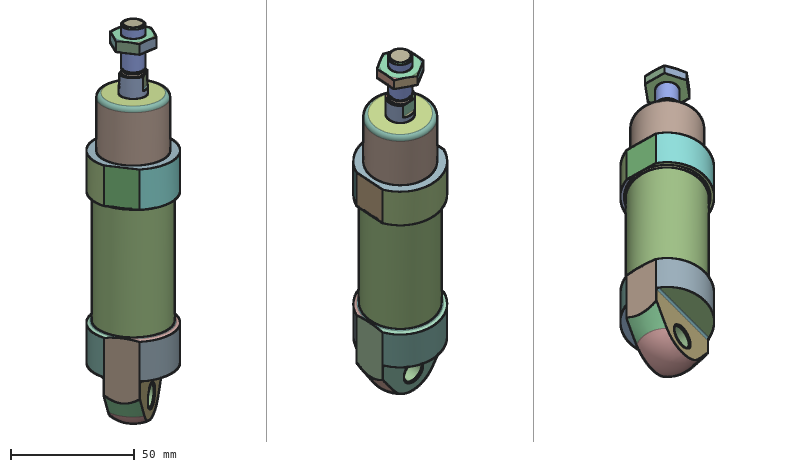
import cadquery as cq
import math

total_length = 176.5

collar_diameter = 38.0
collar_flat_width = 35.0
tube_diameter = 33.6
neck_diameter = 30.0
neck_top = 145.5
neck_edge_radius = 2.0
front_collar_top = 120.0
front_collar_bottom = 102.0
rear_collar_top = 44.2
rear_collar_bottom = 25.9
rear_collar_chamfer_height = 0.7
tube_end_diameter = 35.0
front_flare_height = 0.8
rear_flare_height = 0.4

tongue_thickness = 15.3
tongue_root_radius = 0.9
nose_radius = 15.0
nose_cone_half_angle = math.radians(30)
eye_diameter = 10.0
eye_height = 12.0
eye_chamfer = 0.5

rod_diameter = 12.0
rod_flat_width = 10.0
rod_flat_bottom = 148.3
rod_flat_root_radius = 0.4
rod_shoulder = 154.7
thread_diameter = 10.0
thread_bottom = 156.8
undercut_diameter = 8.4
thread_end_diameter = 8.57
thread_end_chamfer = (thread_diameter - thread_end_diameter) / 2

nut_flat_width = 17.0
nut_bottom = 166.7
nut_height = 5.0
nut_chamfer_angle = math.radians(15)

collar_radius = collar_diameter / 2
tube_radius = tube_diameter / 2
axis_start = (0, 0)
axis_end = (0, 1)


def revolve_profile(profile):
    """Turn a closed radius-height outline about the Z axis."""
    return profile.close().revolve(360, axis_start, axis_end)


def disc(diameter, bottom, top):
    return cq.Workplane("XY").workplane(offset=bottom).circle(diameter / 2).extrude(top - bottom)


def slab(x_size, y_size, bottom, top):
    return cq.Workplane("XY").workplane(offset=bottom).rect(x_size, y_size).extrude(top - bottom)


def make_tube_and_neck():
    flare_radius = tube_end_diameter / 2
    flared_tube = revolve_profile(
        cq.Workplane("XZ")
        .moveTo(0, rear_collar_top)
        .lineTo(flare_radius, rear_collar_top)
        .lineTo(tube_radius, rear_collar_top + rear_flare_height)
        .lineTo(tube_radius, front_collar_bottom - front_flare_height)
        .lineTo(flare_radius, front_collar_bottom)
        .lineTo(0, front_collar_bottom)
    )
    neck = disc(neck_diameter, front_collar_bottom, neck_top)
    neck = neck.faces(">Z").edges().fillet(neck_edge_radius)
    return flared_tube.union(neck)


def make_front_collar():
    collar = disc(collar_diameter, front_collar_bottom, front_collar_top)
    flats = slab(collar_diameter, collar_flat_width, front_collar_bottom, front_collar_top)
    return collar.intersect(flats)


def make_rear_clevis():
    """Rear collar running down into a tongue with a rounded, conical nose."""
    tangent_radius = nose_radius * math.cos(nose_cone_half_angle)
    tangent_height = nose_radius * (1 - math.sin(nose_cone_half_angle))
    mid_angle = (math.pi / 2 + nose_cone_half_angle) / 2
    arc_middle = (nose_radius * math.cos(mid_angle), nose_radius * (1 - math.sin(mid_angle)))
    cone_top = tangent_height + (collar_radius - tangent_radius) / math.tan(nose_cone_half_angle)
    envelope = revolve_profile(
        cq.Workplane("XZ")
        .moveTo(0, 0)
        .threePointArc(arc_middle, (tangent_radius, tangent_height))
        .lineTo(collar_radius, cone_top)
        .lineTo(collar_radius, rear_collar_top - rear_collar_chamfer_height)
        .lineTo(tube_end_diameter / 2, rear_collar_top)
        .lineTo(0, rear_collar_top)
    )

    block = slab(collar_diameter, collar_flat_width, rear_collar_bottom, rear_collar_top)
    tongue = slab(tongue_thickness, collar_flat_width, 0, rear_collar_bottom)
    root = cq.selectors.BoxSelector(
        (-tongue_thickness, -tongue_root_radius, rear_collar_bottom - tongue_root_radius),
        (tongue_thickness, tongue_root_radius, rear_collar_bottom + tongue_root_radius),
    )
    stepped_block = block.union(tongue).edges("|Y").edges(root).fillet(tongue_root_radius)
    return envelope.intersect(stepped_block)


def make_eye_cutter():
    """Pin hole along X with a countersink on both tongue faces."""
    half = tongue_thickness / 2
    eye_radius = eye_diameter / 2
    mouth_radius = eye_radius + eye_chamfer
    return (
        cq.Workplane("XY")
        .moveTo(-half, 0)
        .lineTo(-half, mouth_radius)
        .lineTo(-half + eye_chamfer, eye_radius)
        .lineTo(half - eye_chamfer, eye_radius)
        .lineTo(half, mouth_radius)
        .lineTo(half, 0)
        .close()
        .revolve(360, (0, 0), (1, 0))
        .translate((0, 0, eye_height))
    )


def make_housing():
    housing = make_tube_and_neck().union(make_front_collar()).union(make_rear_clevis())
    return housing.cut(make_eye_cutter())


def make_rod():
    """Rod standing on the neck face, with wrench flats and a threaded end."""
    rod_radius = rod_diameter / 2
    half_flat_width = rod_flat_width / 2
    flatted_stock = slab(rod_diameter, rod_diameter, neck_top, rod_flat_bottom).union(
        slab(rod_flat_width, rod_diameter, rod_flat_bottom, rod_shoulder)
    )
    flat_roots = cq.selectors.BoxSelector(
        (-half_flat_width - rod_flat_root_radius, -rod_radius, rod_flat_bottom - rod_flat_root_radius),
        (half_flat_width + rod_flat_root_radius, rod_radius, rod_flat_bottom + rod_flat_root_radius),
    )
    flatted_stock = flatted_stock.edges("|Y").edges(flat_roots).fillet(rod_flat_root_radius)
    shank = disc(rod_diameter, neck_top, rod_shoulder).intersect(flatted_stock)

    thread_radius = thread_diameter / 2
    undercut_radius = undercut_diameter / 2
    runout = thread_radius - undercut_radius
    threaded_end = revolve_profile(
        cq.Workplane("XZ")
        .moveTo(0, rod_shoulder)
        .lineTo(thread_radius, rod_shoulder)
        .lineTo(undercut_radius, rod_shoulder + runout)
        .lineTo(undercut_radius, thread_bottom - runout)
        .lineTo(thread_radius, thread_bottom)
        .lineTo(thread_radius, total_length - thread_end_chamfer)
        .lineTo(thread_end_diameter / 2, total_length)
        .lineTo(0, total_length)
    )
    return shank.union(threaded_end)


def make_nut():
    """Lock nut with two flats facing Y and chamfered corners on the upper face."""
    corner_diameter = nut_flat_width / math.cos(math.pi / 6)
    corner_radius = corner_diameter / 2
    face_radius = nut_flat_width / 2
    corner_drop = (corner_radius - face_radius) * math.tan(nut_chamfer_angle)
    nut_top = nut_bottom + nut_height
    hexagon = (
        cq.Workplane("XY")
        .workplane(offset=nut_bottom)
        .polygon(6, corner_diameter)
        .extrude(nut_height)
    )
    chamfer_envelope = revolve_profile(
        cq.Workplane("XZ")
        .moveTo(0, nut_bottom)
        .lineTo(corner_radius, nut_bottom)
        .lineTo(corner_radius, nut_top - corner_drop)
        .lineTo(face_radius, nut_top)
        .lineTo(0, nut_top)
    )
    bore = disc(thread_diameter, nut_bottom, nut_top)
    return hexagon.intersect(chamfer_envelope).cut(bore)


housing = make_housing()
rod = make_rod()
nut = make_nut()

result = cq.Compound.makeCompound([housing.val(), rod.val(), nut.val()])